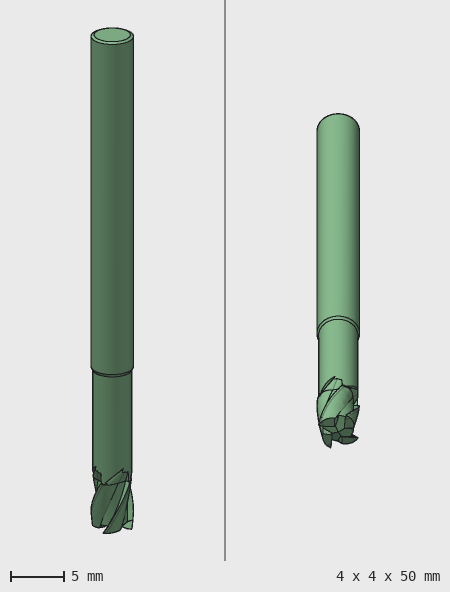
import cadquery as cq
import math


total_length = 50.0
cutting_radius = 2.0
shank_radius = 2.0
neck_radius = 1.85
cutting_length = 5.0

neck_end_height = 16.0
shoulder_length = 0.3
end_bevel_depth = 0.3
end_bevel_length = 0.15

tooth_count = 4
tooth_pitch = 360 / tooth_count
helix_angle = 30.0
core_radius = 1.45
land_angle = 8.0
land_drop = 0.05
relief_crown_angle = 27.0
relief_crown_radius = 1.8
heel_angle = 57.0
rake_foot_angle = 94.0
first_edge_angle = -90.0
clearance_radius = 3.0

vanish_radius = 2.25
vanish_angle = 84.0
vanish_height = 7.1
runout_shrink = 0.8

end_relief_angle = 9.0
corner_bevel_width = 0.6
corner_bevel_height = 0.1
gash_height = 0.9
gash_roof_width = 0.95
gash_floor_width = 1.3

helix_lead = 2 * math.pi * cutting_radius / math.tan(math.radians(helix_angle))
head_twist = 360 * cutting_length / helix_lead


def polar(radius, angle):
    return (radius * math.cos(math.radians(angle)), radius * math.sin(math.radians(angle)))


def flute_corners(edge_angle):
    """End of land, crown of relief, heel, middle of core arc and foot of rake face after one cutting edge."""
    return (
        polar(cutting_radius - land_drop, edge_angle + land_angle),
        polar(relief_crown_radius, edge_angle + relief_crown_angle),
        polar(core_radius, edge_angle + heel_angle),
        polar(core_radius, edge_angle + (heel_angle + rake_foot_angle) / 2),
        polar(core_radius, edge_angle + rake_foot_angle),
    )


def head_section():
    """Cross-section of the cutting head, one land and one flute per tooth."""
    section = cq.Workplane("XY").moveTo(*polar(cutting_radius, first_edge_angle))
    for tooth in range(tooth_count):
        edge_angle = first_edge_angle + tooth * tooth_pitch
        land_end, crown, heel, core_middle, rake_foot = flute_corners(edge_angle)
        section = section.lineTo(*land_end).threePointArc(crown, heel)
        section = section.threePointArc(core_middle, rake_foot)
        if tooth < tooth_count - 1:
            section = section.lineTo(*polar(cutting_radius, edge_angle + tooth_pitch))
    return section.close()


def end_relief():
    """Wedge that leaves the end face of the first tooth rising away from its cutting edge."""
    rise = clearance_radius * math.tan(math.radians(end_relief_angle))
    profile = [(0, 0), (clearance_radius, 0), (clearance_radius, rise)]
    return cq.Workplane("XZ").polyline(profile).close().extrude(clearance_radius)


def corner_bevel():
    """Ring that leaves the outer corners of the end teeth rising slightly outward."""
    profile = [
        (cutting_radius - 2 * corner_bevel_width, -corner_bevel_height),
        (cutting_radius + corner_bevel_width, 2 * corner_bevel_height),
        (cutting_radius + corner_bevel_width, -corner_bevel_height),
    ]
    return cq.Workplane("XZ").polyline(profile).close().revolve(360, (0, 0, 0), (0, 1, 0))


def end_gash():
    """Notch in front of the first tooth: its steep wall leans with the helix, its roof falls to the axis."""
    wall_slope = math.tan(math.radians(helix_angle))
    profile = [
        (-gash_height * wall_slope, -gash_height),
        (gash_height * wall_slope, gash_height),
        (gash_height * wall_slope - gash_roof_width, gash_height),
        (-gash_floor_width, 0),
        (-gash_floor_width, -gash_height),
    ]
    outer_end = cq.Workplane("XZ", origin=(0, -cutting_radius, 0)).polyline(profile).close()
    toward_axis = cq.Vector(0, cutting_radius, -gash_height)
    return cq.Workplane(cq.Solid.extrudeLinear(outer_end.val(), [], toward_axis))


def cutting_head():
    head = head_section().twistExtrude(cutting_length, head_twist)
    for tooth in range(tooth_count):
        for cutter in (end_relief(), end_gash()):
            head = head.cut(cutter.rotate((0, 0, 0), (0, 0, 1), tooth * tooth_pitch))
    return head.cut(corner_bevel())


def runout_section(edge_angle, shrink):
    """Flute outline above the head, drawn toward the vanishing point by the fraction `shrink`."""
    vanish_x, vanish_y = polar(vanish_radius, edge_angle + vanish_angle)

    def drawn_in(point):
        x, y = point
        return (x + (vanish_x - x) * shrink, y + (vanish_y - y) * shrink)

    land_end, crown, heel, core_middle, rake_foot = [drawn_in(point) for point in flute_corners(edge_angle)]
    next_edge = edge_angle + tooth_pitch
    height = cutting_length + (vanish_height - cutting_length) * shrink
    return (
        cq.Workplane("XY", origin=(0, 0, height))
        .moveTo(*land_end)
        .threePointArc(crown, heel)
        .threePointArc(core_middle, rake_foot)
        .lineTo(*drawn_in(polar(cutting_radius, next_edge)))
        .lineTo(*drawn_in(polar(clearance_radius, next_edge)))
        .lineTo(*drawn_in(polar(clearance_radius, edge_angle + heel_angle)))
        .lineTo(*drawn_in(polar(clearance_radius, edge_angle + land_angle)))
        .close()
        .val()
    )


def flute_runout(edge_angle):
    """Flute carried on past the head, narrowing outward until it leaves the neck."""
    sections = [runout_section(edge_angle, shrink) for shrink in (0, runout_shrink)]
    return cq.Solid.makeLoft(sections, True)


def shank():
    """Neck, conical shoulder and bevelled shank, with the flutes running out in the neck."""
    outline = [
        (0, cutting_length),
        (neck_radius, cutting_length),
        (neck_radius, neck_end_height),
        (shank_radius, neck_end_height + shoulder_length),
        (shank_radius, total_length - end_bevel_length),
        (shank_radius - end_bevel_depth, total_length),
        (0, total_length),
    ]
    body = cq.Workplane("XZ").polyline(outline).close().revolve(360, (0, 0, 0), (0, 1, 0))
    for tooth in range(tooth_count):
        edge_angle = first_edge_angle + head_twist + tooth * tooth_pitch
        body = body.cut(cq.Workplane(flute_runout(edge_angle)))
    return body


result = cq.Compound.makeCompound([shank().val(), cutting_head().val()])